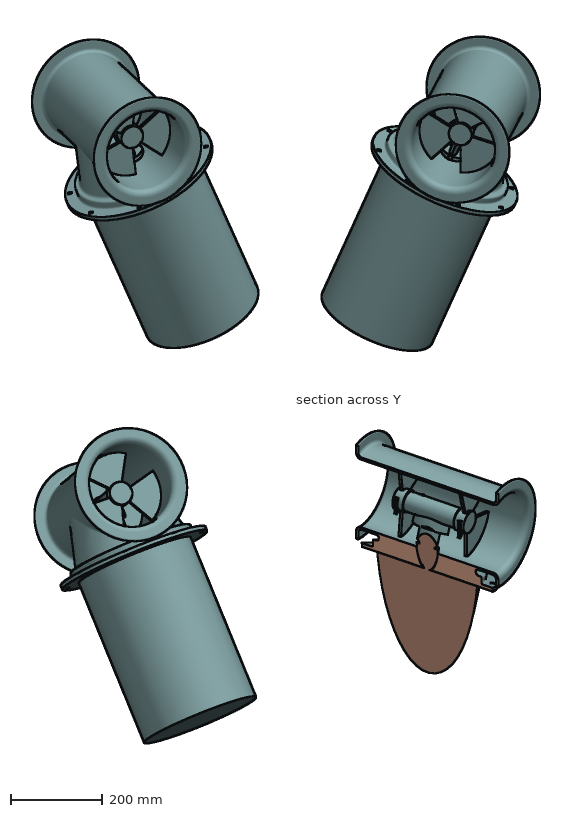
import cadquery as cq
import math

motor_tilt = 22.9

tunnel_length = 370.0
tunnel_outer_radius = 99.5
tunnel_wall = 6.5
rim_radius = 127.0
rim_thickness = 7.0
mouth_outer_fillet = 8.0

mount_radius = 172.0
mount_thickness = 10.0
mount_bottom_depth = 139.5
step_radius = 143.0
step_top_depth = 112.0
step_fillet = 4.5
skirt_base_radius = 129.0
skirt_top_radius = 99.0
skirt_fillet = 8.0
junction_fillet = 4.5
bolt_count = 8
bolt_circle_radius = 160.0
bolt_hole_diameter = 8.5

motor_radius = 133.0
motor_bottom_depth = 520.0

hub_radius = 26.0
hub_outer_x = 92.0
hub_inner_x = 66.0
blade_count = 3
blade_tip_radius = 92.0
blade_outer_x = 85.5
blade_thickness = 6.5
blade_sector = 75.0
left_blade_angle = 75.0
right_blade_angle = 82.0

gearcase_radius = 23.0
strut_width = 17.0
strut_chord = 53.0
collar_width = 31.5
collar_chord = 92.0
collar_bottom_depth = 43.0
pedestal_radius = 28.0
pedestal_top_depth = 83.0
screw_head_radius = 5.0
screw_head_height = 2.0
screw_depth = 87.5

tunnel_bore_radius = tunnel_outer_radius - tunnel_wall
mouth_inner_fillet = mouth_outer_fillet + tunnel_wall
tunnel_end_x = tunnel_length / 2
mount_top_depth = mount_bottom_depth - mount_thickness


def lean(body):
    """Turn a body built straight down -Z onto the motor axis."""
    return body.rotate((0, 0, 0), (1, 0, 0), motor_tilt)


def post(radius, top_depth, bottom_depth):
    """Round post on the untilted motor axis between two depths."""
    return cq.Workplane("XY").workplane(offset=-bottom_depth).circle(radius).extrude(bottom_depth - top_depth)


def rod(radius, start_x, end_x):
    """Round rod on the tunnel axis between two X positions."""
    return cq.Workplane("YZ").workplane(offset=start_x).circle(radius).extrude(end_x - start_x)


def tunnel_rim(side):
    """Round-edged flange with a hollow fillet to the tunnel; side is -1 or +1."""
    edge_radius = rim_thickness / 2
    face_x = tunnel_end_x
    back_x = face_x - rim_thickness
    fillet_start_x = back_x - mouth_outer_fillet
    fillet_centre_radius = tunnel_outer_radius + mouth_outer_fillet
    diagonal = mouth_outer_fillet * math.sqrt(0.5)
    profile = (
        cq.Workplane("XY")
        .moveTo(fillet_start_x, 0)
        .lineTo(fillet_start_x, tunnel_outer_radius)
        .threePointArc(
            (fillet_start_x + diagonal, fillet_centre_radius - diagonal),
            (back_x, fillet_centre_radius),
        )
        .lineTo(back_x, rim_radius - edge_radius)
        .radiusArc((face_x - edge_radius, rim_radius), edge_radius)
        .radiusArc((face_x, rim_radius - edge_radius), edge_radius)
        .lineTo(face_x, 0)
        .close()
    )
    rim = profile.revolve(360, (0, 0, 0), (1, 0, 0))
    return rim if side > 0 else rim.mirror("YZ")


def tunnel_bore():
    """Through bore that flares out at both mouths."""
    flare_start_x = tunnel_end_x - mouth_inner_fillet
    mouth_radius = tunnel_bore_radius + mouth_inner_fillet
    diagonal = mouth_inner_fillet * math.sqrt(0.5)
    profile = (
        cq.Workplane("XY")
        .moveTo(-tunnel_end_x, 0)
        .lineTo(-tunnel_end_x, mouth_radius)
        .threePointArc(
            (-flare_start_x - diagonal, mouth_radius - diagonal),
            (-flare_start_x, tunnel_bore_radius),
        )
        .lineTo(flare_start_x, tunnel_bore_radius)
        .threePointArc(
            (flare_start_x + diagonal, mouth_radius - diagonal),
            (tunnel_end_x, mouth_radius),
        )
        .lineTo(tunnel_end_x, 0)
        .close()
    )
    return profile.revolve(360, (0, 0, 0), (1, 0, 0))


def skirt():
    """Cone widening down from the tunnel to a round step and the mounting flange."""
    profile = (
        cq.Workplane("XZ")
        .lineTo(skirt_top_radius, 0)
        .lineTo(skirt_base_radius, -step_top_depth)
        .lineTo(step_radius, -step_top_depth)
        .lineTo(step_radius, -mount_top_depth)
        .lineTo(mount_radius, -mount_top_depth)
        .lineTo(mount_radius, -mount_bottom_depth)
        .lineTo(0, -mount_bottom_depth)
        .close()
    )
    return profile.revolve(360, (0, 0, 0), (0, 1, 0))


def circle_at(radius, depth):
    """Selector box around the circular edge of a given radius and depth."""
    reach = radius + 0.5
    return cq.selectors.BoxSelector(
        (-reach, -reach, -depth - 0.5), (reach, reach, -depth + 0.5), boundingbox=True
    )


def make_housing():
    base = skirt()
    base = base.edges(circle_at(skirt_base_radius, step_top_depth)).fillet(skirt_fillet)
    step_top_edges = base.edges(circle_at(step_radius, step_top_depth))
    base = step_top_edges.edges(cq.selectors.RadiusNthSelector(-1)).fillet(step_fillet)
    base = base.edges(circle_at(step_radius, mount_top_depth)).fillet(step_fillet)
    bolt_holes = (
        cq.Workplane("XY")
        .workplane(offset=-mount_bottom_depth)
        .polarArray(bolt_circle_radius, 180 / bolt_count, 360, bolt_count)
        .circle(bolt_hole_diameter / 2)
        .extrude(mount_thickness)
    )
    base = lean(base.cut(bolt_holes))
    body = rod(tunnel_outer_radius, -tunnel_end_x, tunnel_end_x).union(base)
    body = body.edges("%BSPLINE").fillet(junction_fillet)
    for side in (-1, 1):
        body = body.union(tunnel_rim(side))
    pedestal_hole = lean(post(pedestal_radius, 0, mount_bottom_depth))
    return body.cut(tunnel_bore()).cut(pedestal_hole)


def blade(start_angle):
    """Flat blade shaped as a sector, measured anticlockwise from +Y about +X."""

    def tip(angle):
        turn = math.radians(angle)
        return blade_tip_radius * math.cos(turn), blade_tip_radius * math.sin(turn)

    return (
        cq.Workplane("YZ")
        .workplane(offset=blade_outer_x - blade_thickness)
        .lineTo(*tip(start_angle))
        .threePointArc(tip(start_angle + blade_sector / 2), tip(start_angle + blade_sector))
        .close()
        .extrude(blade_thickness)
    )


def make_propeller(side, first_blade_angle):
    """Propeller at the -X end (side -1) or the +X end (side +1)."""
    propeller = rod(hub_radius, hub_inner_x, hub_outer_x)
    for index in range(blade_count):
        propeller = propeller.union(blade(first_blade_angle + index * 360 / blade_count))
    return propeller if side > 0 else propeller.mirror("YZ")


def strut(width, chord, bottom_depth):
    """Lens-shaped post from the motor axis origin, with its sharp edges facing -X and +X."""
    return (
        cq.Workplane("XY")
        .workplane(offset=-bottom_depth)
        .moveTo(-chord / 2, 0)
        .threePointArc((0, width / 2), (chord / 2, 0))
        .threePointArc((0, -width / 2), (-chord / 2, 0))
        .close()
        .extrude(bottom_depth)
    )


def make_drive_unit():
    drum = post(motor_radius, mount_bottom_depth, motor_bottom_depth)
    pedestal = post(pedestal_radius, pedestal_top_depth, mount_bottom_depth)
    screw_head = (
        cq.Workplane("YZ")
        .center(0, -screw_depth)
        .circle(screw_head_radius)
        .extrude(-pedestal_radius - screw_head_height)
    )
    leg = strut(strut_width, strut_chord, pedestal_top_depth)
    collar = strut(collar_width, collar_chord, collar_bottom_depth)
    upright = drum.union(pedestal).union(screw_head).union(leg).union(collar)
    return lean(upright).union(rod(gearcase_radius, -hub_inner_x, hub_inner_x))


housing = make_housing()
drive_unit = make_drive_unit()
propeller_settings = [(-1, left_blade_angle), (1, right_blade_angle)]
propellers = [make_propeller(side, angle).val() for side, angle in propeller_settings]

result = cq.Compound.makeCompound([housing.val(), drive_unit.val(), *propellers])